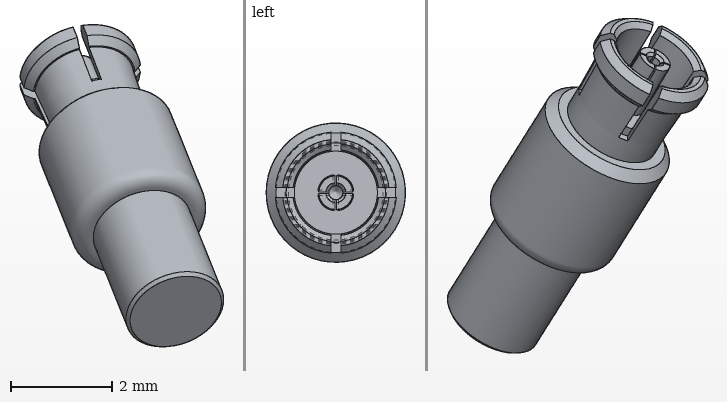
import cadquery as cq
import math

total_length = 7.25
collar_length = 0.6
finger_slot_end = 1.49
barrel_start = 1.995
barrel_end = 4.8
socket_floor = 1.3
pin_tip = 0.1

barrel_diameter = 2.75
barrel_radius = barrel_diameter / 2
barrel_chamfer = 0.195
barrel_fillet = 0.29
collar_radius = 1.195
collar_front_chamfer = 0.145
collar_rear_chamfer = 0.15
neck_front_radius = 1.015
neck_radius = 0.98
tail_radius = 1.0
tail_chamfer = 0.065

mouth_radius = 0.965
throat_radius = 0.85
throat_start = 0.095
bore_radius = 0.82
finger_slot_width = 0.195

pin_tip_radius = 0.33
pin_base_radius = 0.355
pin_bore_radius = 0.14
pin_bore_chamfer = 0.06
pin_drill_angle = 45.0
pin_slot_tip_width = 0.03
pin_slot_base_width = 0.1


def revolve_about_x(profile):
    return profile.close().revolve(360, (0, 0, 0), (1, 0, 0))


def outer_body():
    """Collar, flared neck, barrel and tail as one turned shape."""
    half_root = math.sqrt(0.5)
    barrel_arc_x = barrel_end - barrel_fillet * (1 - half_root)
    barrel_arc_r = barrel_radius - barrel_fillet * (1 - half_root)
    profile = (
        cq.Workplane("XY")
        .moveTo(0, 0)
        .lineTo(0, collar_radius - collar_front_chamfer)
        .lineTo(collar_front_chamfer, collar_radius)
        .lineTo(collar_length - collar_rear_chamfer, collar_radius)
        .lineTo(collar_length, collar_radius - collar_rear_chamfer)
        .lineTo(collar_length, neck_front_radius)
        .lineTo(finger_slot_end, neck_radius)
        .lineTo(barrel_start, neck_radius)
        .lineTo(barrel_start, barrel_radius - barrel_chamfer)
        .lineTo(barrel_start + barrel_chamfer, barrel_radius)
        .lineTo(barrel_end - barrel_fillet, barrel_radius)
        .threePointArc((barrel_arc_x, barrel_arc_r), (barrel_end, barrel_radius - barrel_fillet))
        .lineTo(barrel_end, tail_radius)
        .lineTo(total_length - tail_chamfer, tail_radius)
        .lineTo(total_length, tail_radius - tail_chamfer)
        .lineTo(total_length, 0)
    )
    return revolve_about_x(profile)


def socket():
    """Tapered mouth leading through a narrowing bore to a flat floor."""
    profile = (
        cq.Workplane("XY")
        .moveTo(0, 0)
        .lineTo(0, mouth_radius)
        .lineTo(throat_start, throat_radius)
        .lineTo(socket_floor, bore_radius)
        .lineTo(socket_floor, 0)
    )
    return revolve_about_x(profile)


def crossed(cutter):
    """A cutter through the axis along Z, joined with its copy along Y."""
    return cutter.union(cutter.rotate((0, 0, 0), (1, 0, 0), 90))


def finger_slots():
    slot = cq.Workplane("XY").box(
        finger_slot_end, finger_slot_width, 2 * barrel_radius, centered=(False, True, True)
    )
    core = cq.Workplane("YZ").circle(bore_radius).extrude(finger_slot_end)
    return crossed(slot).cut(core)


def pin():
    """Tapered pin standing on the socket floor, drilled and split in four."""
    blank = revolve_about_x(
        cq.Workplane("XY")
        .moveTo(pin_tip, 0)
        .lineTo(pin_tip, pin_tip_radius)
        .lineTo(socket_floor, pin_base_radius)
        .lineTo(socket_floor, 0)
    )
    slot = (
        cq.Workplane("XY")
        .moveTo(pin_tip, -pin_slot_tip_width / 2)
        .lineTo(pin_tip, pin_slot_tip_width / 2)
        .lineTo(socket_floor, pin_slot_base_width / 2)
        .lineTo(socket_floor, -pin_slot_base_width / 2)
        .close()
        .extrude(pin_base_radius, both=True)
    )
    return blank.cut(crossed(slot))


def pin_bore():
    """Chamfered drilling ending in a cone just beyond the socket floor."""
    cone_depth = pin_bore_radius / math.tan(math.radians(pin_drill_angle))
    profile = (
        cq.Workplane("XY")
        .moveTo(pin_tip, 0)
        .lineTo(pin_tip, pin_bore_radius + pin_bore_chamfer)
        .lineTo(pin_tip + pin_bore_chamfer, pin_bore_radius)
        .lineTo(socket_floor, pin_bore_radius)
        .lineTo(socket_floor + cone_depth, 0)
    )
    return revolve_about_x(profile)


result = outer_body().cut(socket()).cut(finger_slots()).union(pin()).cut(pin_bore())